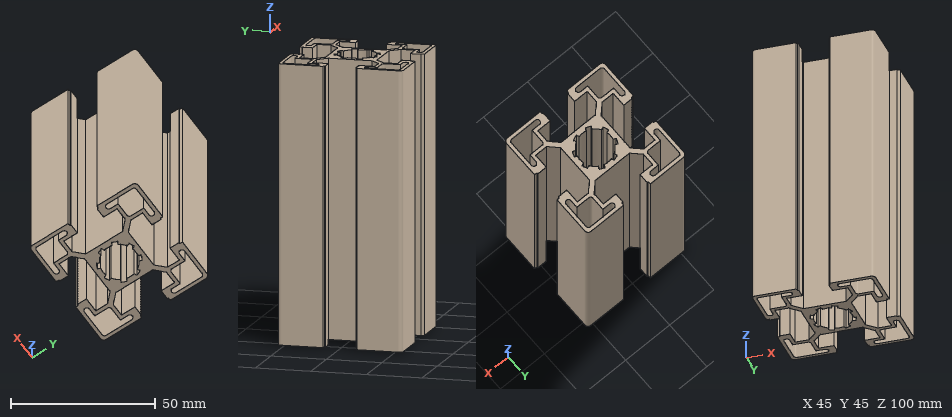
import math

import cadquery as cq

LENGTH = 100.0
SIDE = 45.0
SIDE_COUNT = 4
OUTER_RADIUS = 1.5

SLOT_OPENING = 11.0
SLOT_WIDTH = 22.4
LIP_DEPTH = 4.9
MOUTH_STEP_WIDTH = 0.4
MOUTH_STEP_FLARE = 0.2
MOUTH_STEP_DEPTH = 1.1

WALL = 1.4
WEB = 2.0
CORE_SIDE = 18.4
LIP_TIP = 2.8
HOLLOW_RADIUS = 1.0

BORE_RADIUS = 6.9
GROOVE_RADIUS = 8.0
GROOVE_WIDTH = 2.1
GROOVE_COUNT = 8

HALF_SIDE = SIDE / 2
HALF_OPENING = SLOT_OPENING / 2
HALF_SLOT = SLOT_WIDTH / 2
HALF_CORE = CORE_SIDE / 2
LIP_INNER = HALF_SIDE - LIP_DEPTH
WEB_OFFSET = WEB / math.sqrt(2)


def prism(outline):
    """Extrude a closed outline over the full length."""
    return outline.extrude(LENGTH)


def copies_around_axis(body, count):
    """Copies of a body spaced evenly around the Z axis, joined together."""
    joined = body
    for index in range(1, count):
        joined = joined.union(body.rotate((0, 0, 0), (0, 0, 1), index * 360 / count))
    return joined


def slot():
    """T-slot of the +Y side, from its stepped, slightly flared mouth to the core."""
    right_side = [
        (HALF_OPENING + MOUTH_STEP_WIDTH + MOUTH_STEP_FLARE, HALF_SIDE),
        (HALF_OPENING + MOUTH_STEP_WIDTH, HALF_SIDE - MOUTH_STEP_DEPTH),
        (HALF_OPENING, HALF_SIDE - MOUTH_STEP_DEPTH),
        (HALF_OPENING, LIP_INNER),
        (HALF_SLOT, LIP_INNER),
        (HALF_SLOT, HALF_SLOT + WEB_OFFSET),
        (HALF_CORE - WEB_OFFSET, HALF_CORE),
    ]
    left_side = [(-x, y) for x, y in reversed(right_side)]
    return prism(cq.Workplane("XY").polyline(right_side + left_side).close())


def corner_edge(position):
    """Selector for the vertical edge at x = y = position."""
    near = position - WALL / 2
    far = position + WALL / 2
    return cq.selectors.BoxSelector((near, near, 0), (far, far, LENGTH))


def corner_hollow():
    """L-shaped cavity of the (+X, +Y) corner, with an arm behind each slot lip."""
    outer = HALF_SIDE - WALL
    arm_inner = LIP_INNER + WALL
    arm_end = HALF_OPENING + LIP_TIP
    arm_radius = (outer - arm_inner) / 2
    arm_middle = (outer + arm_inner) / 2
    inner = HALF_SLOT + WALL
    outline = (
        cq.Workplane("XY")
        .moveTo(outer, outer)
        .lineTo(arm_end + arm_radius, outer)
        .threePointArc((arm_end, arm_middle), (arm_end + arm_radius, arm_inner))
        .lineTo(inner, arm_inner)
        .lineTo(inner, inner)
        .lineTo(arm_inner, inner)
        .lineTo(arm_inner, arm_end + arm_radius)
        .threePointArc((arm_middle, arm_end), (outer, arm_end + arm_radius))
        .close()
    )
    corners = corner_edge(outer) + corner_edge(inner)
    return prism(outline).edges("|Z").edges(corners).fillet(HOLLOW_RADIUS)


def grooved_bore():
    """Round bore with straight-sided grooves, one each side of every axis."""
    half_width = GROOVE_WIDTH / 2
    groove_reach = math.sqrt(GROOVE_RADIUS**2 - half_width**2)
    groove = prism(
        cq.Workplane("XY")
        .moveTo(0, -half_width)
        .lineTo(groove_reach, -half_width)
        .threePointArc((GROOVE_RADIUS, 0), (groove_reach, half_width))
        .lineTo(0, half_width)
        .close()
    ).rotate((0, 0, 0), (0, 0, 1), 180 / GROOVE_COUNT)
    bore = prism(cq.Workplane("XY").circle(BORE_RADIUS))
    return bore.union(copies_around_axis(groove, GROOVE_COUNT))


bar = prism(cq.Workplane("XY").rect(SIDE, SIDE)).edges("|Z").fillet(OUTER_RADIUS)
result = (
    bar.cut(copies_around_axis(slot(), SIDE_COUNT))
    .cut(copies_around_axis(corner_hollow(), SIDE_COUNT))
    .cut(grooved_bore())
)